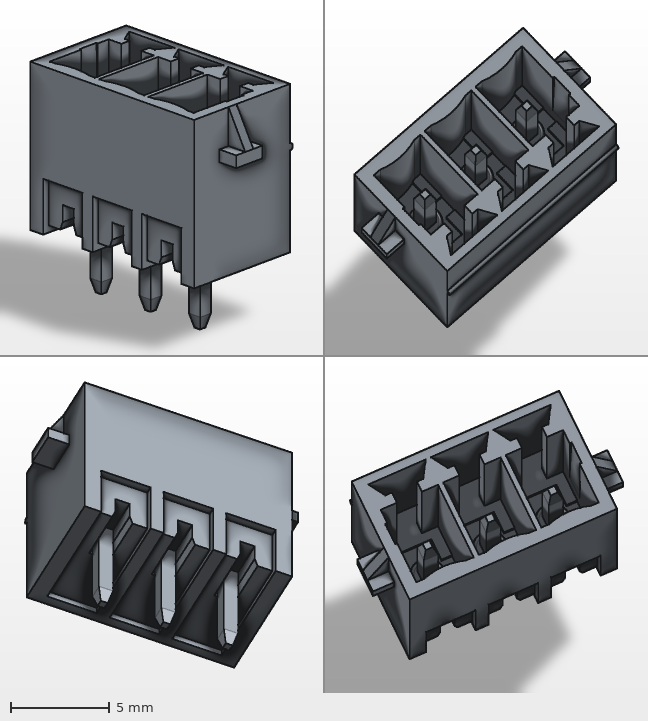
import cadquery as cq


POLES = 3
PITCH = 3.5
POLE_XS = [PITCH * (i - (POLES - 1) / 2) for i in range(POLES)]
POLE_Y = 2.8

HOUSING_WIDTH = 11.62
HOUSING_DEPTH = 7.0
HOUSING_HEIGHT = 9.2
RIDGE_RADIUS = 0.2
RIDGE_Z = HOUSING_HEIGHT - 3.45

CAVITY_WIDTH = 3.2
CAVITY_FRONT_Y = 0.7
CAVITY_BACK_Y = 5.0
FLOOR_Z = 2.8
BULGE_CHORD = 2.35
BULGE_HEIGHT = 0.2

NECK_WIDTH = 1.4
DOVETAIL_FRONT_WIDTH = 2.13
DOVETAIL_FRONT_Y = 5.6
DOVETAIL_BACK_Y = 6.5

GROOVE_DEPTH = 0.11
GROOVE_FRONT_Y = 3.01
GROOVE_BACK_Y = 4.21
GROOVE_BOTTOM_Z = 3.92

RECESS_DEPTH = 0.2
RECESS_WIDTH = 2.0
RECESS_BACK_Y = 4.51
CROSS_BAR_DEPTH = 0.98
COLLAR_DIAMETER = 1.8
COLLAR_HEIGHT = 0.42
COLLAR_FILLET = 0.2

POCKET_WIDTH = 2.77
POCKET_HEIGHT = 3.05
POCKET_DEPTH = 0.4
CHANNEL_HEIGHT = 0.39
SLOT_TOP_Z = 1.78
FLARE_TOP_Z = 0.84
FLARE_OFFSET = 0.17

LUG_LENGTH = 1.19
LUG_DEPTH = 1.9
LUG_THICKNESS = 0.7
LUG_TOP_Z = HOUSING_HEIGHT - 2.13
RIB_THICKNESS = 0.59

PIN_WIDTH = 0.8
PIN_DEPTH = 0.8
PIN_TIP_SIZE = 0.39
PIN_TIP_LENGTH = 0.8
PIN_TOP_Z = 7.5
PIN_BOTTOM_Z = -3.55


def block(x_min, x_max, y_min, y_max, z_min, z_max):
    """Box between two limits along each axis."""
    size = (x_max - x_min, y_max - y_min, z_max - z_min)
    return cq.Workplane("XY").box(*size, centered=False).translate((x_min, y_min, z_min))


def centred_block(x, width, y_min, y_max, z_min, z_max):
    """Box centred on x."""
    return block(x - width / 2, x + width / 2, y_min, y_max, z_min, z_max)


def prism_along_y(points, y_min, y_max):
    """Outline of (x, z) points extruded from y_min to y_max."""
    return cq.Workplane("XZ", origin=(0, y_min, 0)).polyline(points).close().extrude(y_min - y_max)


def back_ridge():
    """Half-round ridge along the back face; its inner half lies inside the block."""
    ridge = cq.Workplane("YZ", origin=(-HOUSING_WIDTH / 2, 0, 0))
    return ridge.center(HOUSING_DEPTH, RIDGE_Z).circle(RIDGE_RADIUS).extrude(HOUSING_WIDTH)


def lug(side):
    """Latch plate on one end wall (side is -1 or 1) with a triangular rib above it."""
    wall_x = side * HOUSING_WIDTH / 2
    tip_x = wall_x + side * LUG_LENGTH
    plate = block(
        min(wall_x, tip_x), max(wall_x, tip_x),
        POLE_Y - LUG_DEPTH / 2, POLE_Y + LUG_DEPTH / 2,
        LUG_TOP_Z - LUG_THICKNESS, LUG_TOP_Z,
    )
    rib = prism_along_y(
        [(wall_x, HOUSING_HEIGHT), (wall_x, LUG_TOP_Z), (tip_x, LUG_TOP_Z)],
        POLE_Y - RIB_THICKNESS / 2, POLE_Y + RIB_THICKNESS / 2,
    )
    return plate.union(rib)


def cavity(x):
    """Plug space of one pole: bulged front wall, neck and dovetail at the back."""
    cavity_half = CAVITY_WIDTH / 2
    neck_half = NECK_WIDTH / 2
    dovetail_half = DOVETAIL_FRONT_WIDTH / 2
    bulge_half = BULGE_CHORD / 2
    return (
        cq.Workplane("XY", origin=(x, 0, FLOOR_Z))
        .moveTo(-cavity_half, CAVITY_FRONT_Y)
        .lineTo(-bulge_half, CAVITY_FRONT_Y)
        .threePointArc((0, CAVITY_FRONT_Y + BULGE_HEIGHT), (bulge_half, CAVITY_FRONT_Y))
        .lineTo(cavity_half, CAVITY_FRONT_Y)
        .lineTo(cavity_half, CAVITY_BACK_Y)
        .lineTo(neck_half, CAVITY_BACK_Y)
        .lineTo(neck_half, DOVETAIL_FRONT_Y)
        .lineTo(dovetail_half, DOVETAIL_FRONT_Y)
        .lineTo(cavity_half, DOVETAIL_BACK_Y)
        .lineTo(-cavity_half, DOVETAIL_BACK_Y)
        .lineTo(-dovetail_half, DOVETAIL_FRONT_Y)
        .lineTo(-neck_half, DOVETAIL_FRONT_Y)
        .lineTo(-neck_half, CAVITY_BACK_Y)
        .lineTo(-cavity_half, CAVITY_BACK_Y)
        .close()
        .extrude(HOUSING_HEIGHT - FLOOR_Z)
    )


def floor_recess(x):
    """Cross-shaped recess in a cavity floor; its front end follows the bulged front wall."""
    bottom_z = FLOOR_Z - RECESS_DEPTH
    bar_front_y = POLE_Y - CROSS_BAR_DEPTH / 2
    bar_back_y = POLE_Y + CROSS_BAR_DEPTH / 2
    stem = centred_block(x, RECESS_WIDTH, CAVITY_FRONT_Y, RECESS_BACK_Y, bottom_z, FLOOR_Z)
    bar = centred_block(x, CAVITY_WIDTH, bar_front_y, bar_back_y, bottom_z, FLOOR_Z)
    cavity_below_floor = cavity(x).translate((0, 0, -RECESS_DEPTH))
    return stem.union(bar).intersect(cavity_below_floor)


def collar(x):
    """Rounded collar that stands in the floor recess around one pin."""
    base = cq.Workplane("XY", origin=(x, POLE_Y, FLOOR_Z - RECESS_DEPTH))
    return base.circle(COLLAR_DIAMETER / 2).extrude(COLLAR_HEIGHT).faces(">Z").edges().fillet(COLLAR_FILLET)


def end_groove(side):
    """Groove in one end wall, deepest at the top and running out above the cavity floor."""
    wall_x = side * (POLE_XS[-1] + CAVITY_WIDTH / 2)
    groove_x = wall_x + side * GROOVE_DEPTH
    return prism_along_y(
        [(wall_x, HOUSING_HEIGHT), (groove_x, HOUSING_HEIGHT), (wall_x, GROOVE_BOTTOM_Z)],
        GROOVE_FRONT_Y, GROOVE_BACK_Y,
    )


def pin_slot(x):
    """Slot from the front pocket to the back of the pin, flared at its lower edge."""
    half = PIN_WIDTH / 2
    flared_half = half + FLARE_OFFSET
    outline = [
        (x - flared_half, CHANNEL_HEIGHT),
        (x - half, FLARE_TOP_Z),
        (x - half, SLOT_TOP_Z),
        (x + half, SLOT_TOP_Z),
        (x + half, FLARE_TOP_Z),
        (x + flared_half, CHANNEL_HEIGHT),
    ]
    return prism_along_y(outline, POCKET_DEPTH, POLE_Y + PIN_DEPTH / 2)


def pin_shaft(x, z_min, z_max):
    """Straight rectangular length of a pin."""
    return centred_block(x, PIN_WIDTH, POLE_Y - PIN_DEPTH / 2, POLE_Y + PIN_DEPTH / 2, z_min, z_max)


def pin_tip(x, shaft_z, end_z):
    """Tapered end of a pin between its shaft and its flat end."""
    return (
        cq.Workplane("XY", origin=(x, POLE_Y, shaft_z))
        .rect(PIN_WIDTH, PIN_DEPTH)
        .workplane(offset=end_z - shaft_z)
        .rect(PIN_TIP_SIZE, PIN_TIP_SIZE)
        .loft(ruled=True)
    )


def make_housing():
    half_width = HOUSING_WIDTH / 2
    body = block(-half_width, half_width, 0, HOUSING_DEPTH, 0, HOUSING_HEIGHT).union(back_ridge())
    for side in (-1, 1):
        body = body.union(lug(side)).cut(end_groove(side))
    for x in POLE_XS:
        body = body.cut(cavity(x)).cut(floor_recess(x)).union(collar(x))
        body = body.cut(centred_block(x, POCKET_WIDTH, 0, POCKET_DEPTH, 0, POCKET_HEIGHT))
        body = body.cut(centred_block(x, POCKET_WIDTH, 0, DOVETAIL_BACK_Y, 0, CHANNEL_HEIGHT))
        body = body.cut(pin_slot(x))
        body = body.cut(pin_shaft(x, 0, HOUSING_HEIGHT))
    return body


def make_pin(x):
    shaft_bottom_z = PIN_BOTTOM_Z + PIN_TIP_LENGTH
    shaft_top_z = PIN_TOP_Z - PIN_TIP_LENGTH
    shaft = pin_shaft(x, shaft_bottom_z, shaft_top_z)
    lower_tip = pin_tip(x, shaft_bottom_z, PIN_BOTTOM_Z)
    upper_tip = pin_tip(x, shaft_top_z, PIN_TOP_Z)
    return shaft.union(lower_tip).union(upper_tip)


housing = make_housing()
pins = [make_pin(x) for x in POLE_XS]

result = cq.Compound.makeCompound([housing.val(), *[pin.val() for pin in pins]])